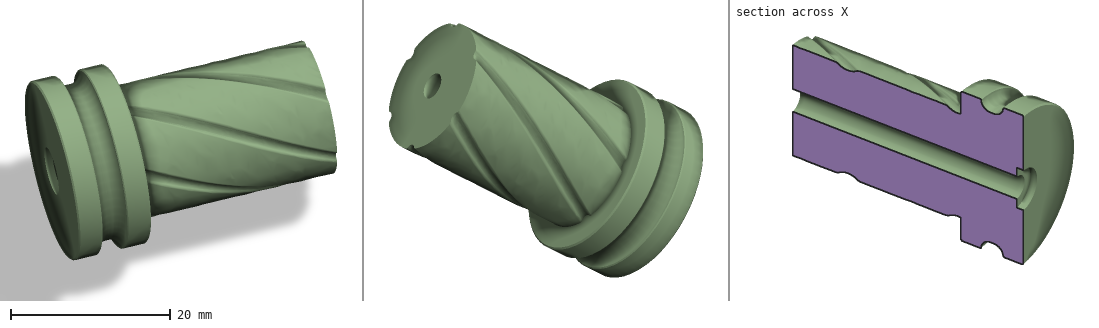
import cadquery as cq
import math

total_length = 34.92
flange_length = 9.55
flange_radius = 23.2 / 2
shaft_radius = 17.18 / 2
shaft_length = total_length - flange_length
edge_chamfer = 0.2

ring_floor_radius = 20.2 / 2
ring_floor_width = 0.52
ring_middle = flange_length / 2
ring_lip_chamfer = 0.15
ring_corner_radius = flange_radius - ring_lip_chamfer - ring_floor_radius

bore_diameter = 3.42
counterbore_diameter = 6.1
counterbore_depth = 1.0

flute_count = 6
flute_spacing = 2 * math.pi / flute_count
flute_pitch = 100.0
flute_twist = 360 * shaft_length / flute_pitch
flute_end_angle = 120.0
flute_first_angle = flute_end_angle - flute_twist
flute_depth = 0.6
flute_radius = 0.85
flute_lip_radius = 0.5


def as_vector(point):
    return cq.Vector(*point)


def polar_point(radius, angle):
    return (radius * math.cos(angle), radius * math.sin(angle))


def between(start, end, distance):
    """Point at the given distance from start along the line to end."""
    fraction = distance / math.dist(start, end)
    return tuple(a + fraction * (b - a) for a, b in zip(start, end))


def flute_edges(middle_angle):
    """Arcs of one round flute, its two rounded lips and the land after it."""
    center_radius = shaft_radius - flute_depth + flute_radius
    lip_center_radius = shaft_radius - flute_lip_radius
    center_distance = flute_radius + flute_lip_radius
    lip_angle = math.acos(
        (center_radius**2 + lip_center_radius**2 - center_distance**2)
        / (2 * center_radius * lip_center_radius)
    )
    flute_center = polar_point(center_radius, middle_angle)
    flute_bottom = polar_point(shaft_radius - flute_depth, middle_angle)

    def lip_points(angle):
        lip_center = polar_point(lip_center_radius, angle)
        outer = polar_point(shaft_radius, angle)
        inner = between(lip_center, flute_center, flute_lip_radius)
        chord_middle = between(outer, inner, math.dist(outer, inner) / 2)
        return outer, between(lip_center, chord_middle, flute_lip_radius), inner

    entry_outer, entry_middle, entry_inner = lip_points(middle_angle - lip_angle)
    exit_outer, exit_middle, exit_inner = lip_points(middle_angle + lip_angle)
    land_middle = polar_point(shaft_radius, middle_angle + flute_spacing / 2)
    next_outer = polar_point(shaft_radius, middle_angle + flute_spacing - lip_angle)
    return [
        cq.Edge.makeThreePointArc(*map(as_vector, points))
        for points in (
            (entry_outer, entry_middle, entry_inner),
            (entry_inner, flute_bottom, exit_inner),
            (exit_inner, exit_middle, exit_outer),
            (exit_outer, land_middle, next_outer),
        )
    ]


def make_shaft():
    """Fluted shaft, twisted along Z and then laid along +Y."""
    edges = []
    for index in range(flute_count):
        edges += flute_edges(math.radians(flute_first_angle) + index * flute_spacing)
    outline = cq.Workplane("XY").newObject([cq.Wire.assembleEdges(edges)]).toPending()
    shaft = outline.twistExtrude(shaft_length, flute_twist)
    shaft = shaft.rotate((0, 0, 0), (1, 0, 0), -90)
    return shaft.translate((0, flange_length, 0))


def make_flange():
    """Flange with chamfered edges and a ring groove, revolved about Y."""
    chamfer_radius = flange_radius - edge_chamfer
    lip_radius = flange_radius - ring_lip_chamfer
    floor_start = ring_middle - ring_floor_width / 2
    floor_end = ring_middle + ring_floor_width / 2
    ring_start = floor_start - ring_corner_radius
    ring_end = floor_end + ring_corner_radius
    arc_offset = ring_corner_radius * (1 - math.sqrt(0.5))
    arc_middle_radius = lip_radius - ring_corner_radius * math.sqrt(0.5)
    return (
        cq.Workplane("XY")
        .lineTo(chamfer_radius, 0)
        .lineTo(flange_radius, edge_chamfer)
        .lineTo(flange_radius, ring_start - ring_lip_chamfer)
        .lineTo(lip_radius, ring_start)
        .threePointArc((arc_middle_radius, ring_start + arc_offset), (ring_floor_radius, floor_start))
        .lineTo(ring_floor_radius, floor_end)
        .threePointArc((arc_middle_radius, ring_end - arc_offset), (lip_radius, ring_end))
        .lineTo(flange_radius, ring_end + ring_lip_chamfer)
        .lineTo(flange_radius, flange_length - edge_chamfer)
        .lineTo(chamfer_radius, flange_length)
        .lineTo(0, flange_length)
        .close()
        .revolve(360, (0, 0, 0), (0, 1, 0))
    )


def make_stepped_hole():
    """Cutter for the through bore and the counterbore in the flange face."""
    face = cq.Workplane("XZ")
    bore = face.circle(bore_diameter / 2).extrude(-total_length)
    counterbore = face.circle(counterbore_diameter / 2).extrude(-counterbore_depth)
    return bore.union(counterbore)


result = make_flange().union(make_shaft()).cut(make_stepped_hole())